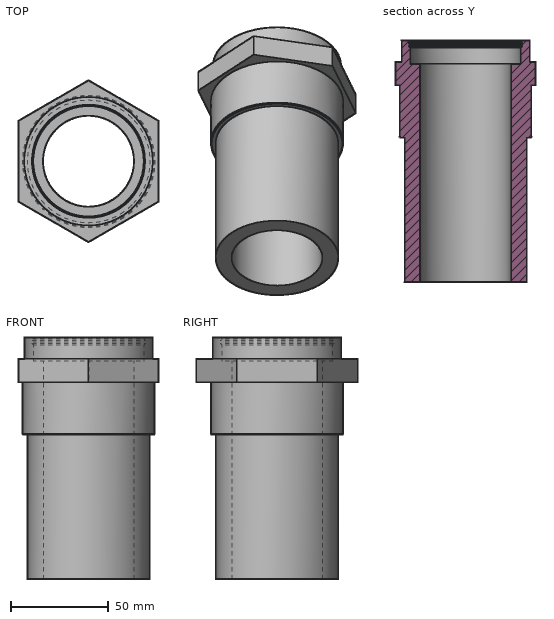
import cadquery as cq
import math

total_height = 124.0
pipe_diameter = 63.0
body_diameter = 68.0
collar_diameter = 66.0
bore_diameter = 46.6
socket_diameter = 56.66
socket_depth = 12.0

body_bottom = 74.0
body_chamfer = 0.5
hex_bottom = 101.0
hex_thickness = 12.0
hex_across_flats = 72.0

groove_pitch = 1.5
groove_depth = 0.75
full_groove_count = 2

hex_across_corners = hex_across_flats / math.cos(math.radians(30))


def cylinder(diameter, bottom, top):
    """Solid cylinder about Z between two heights."""
    return cq.Workplane("XY").workplane(offset=bottom).circle(diameter / 2).extrude(top - bottom)


def outer_body():
    """Pipe, wider chamfered body, hexagon and top collar."""
    pipe = cylinder(pipe_diameter, 0, body_bottom)
    body = cylinder(body_diameter, body_bottom, hex_bottom).faces("<Z").chamfer(body_chamfer)
    hexagon = (
        cq.Workplane("XY")
        .workplane(offset=hex_bottom)
        .transformed(rotate=(0, 0, 90))
        .polygon(6, hex_across_corners)
        .extrude(hex_thickness)
    )
    collar = cylinder(collar_diameter, hex_bottom + hex_thickness, total_height)
    return pipe.union(body).union(hexagon).union(collar)


def passage():
    """Through bore, socket and V-shaped ring grooves, as one revolved solid."""
    bore_radius = bore_diameter / 2
    crest_radius = socket_diameter / 2
    root_radius = crest_radius + groove_depth
    socket_floor = total_height - socket_depth

    profile = cq.Workplane("XZ").lineTo(0, total_height).lineTo(root_radius, total_height)
    for index in range(full_groove_count):
        root_height = total_height - (index + 1) * groove_pitch
        profile = profile.lineTo(crest_radius, root_height + groove_pitch / 2)
        profile = profile.lineTo(root_radius, root_height)
    last_crest_height = total_height - (full_groove_count + 0.5) * groove_pitch
    return (
        profile.lineTo(crest_radius, last_crest_height)
        .lineTo(crest_radius, socket_floor)
        .lineTo(bore_radius, socket_floor)
        .lineTo(bore_radius, 0)
        .close()
        .revolve(360, (0, 0, 0), (0, 1, 0))
    )


result = outer_body().cut(passage())